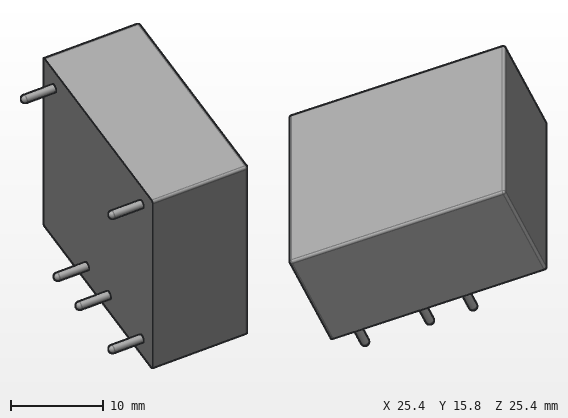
import cadquery as cq

case_side = 25.4
overall_depth = 15.8
pin_length = 4.06
case_depth = overall_depth - pin_length
edge_radius = 0.3

pin_diameter = 1.0
pin_radius = pin_diameter / 2
grid_pitch = 2.55
row_offset = 4 * grid_pitch

pin_positions = [
    (-row_offset, row_offset),
    (row_offset, row_offset),
    (-grid_pitch, -row_offset),
    (grid_pitch, -row_offset),
    (row_offset, -row_offset),
]


def make_case():
    """Case with its pin face at Y = 0; every edge off that face is rounded."""
    case = cq.Workplane("XY").box(case_side, case_depth, case_side, centered=(True, False, True))
    return case.edges("|Y or >Y").fillet(edge_radius)


def make_pin(x, z):
    """Pin pointing towards -Y with a hemispherical tip."""
    shank_length = pin_length - pin_radius
    shank = cq.Workplane("XZ").center(x, z).circle(pin_radius).extrude(shank_length)
    tip = cq.Workplane("XY").sphere(pin_radius).translate((x, -shank_length, z))
    return shank.union(tip)


result = make_case()
for pin_x, pin_z in pin_positions:
    result = result.union(make_pin(pin_x, pin_z))